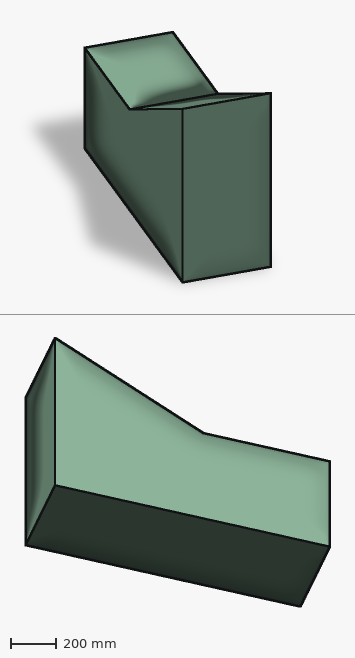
import cadquery as cq

length = 1278.0
width = 414.0
height = 880.0

flat_length = 588.0
flat_height = 510.0

profile = [
    (0, 0),
    (length, 0),
    (length, height),
    (flat_length, flat_height),
    (0, flat_height),
]

result = cq.Workplane("XZ").polyline(profile).close().extrude(width / 2, both=True)